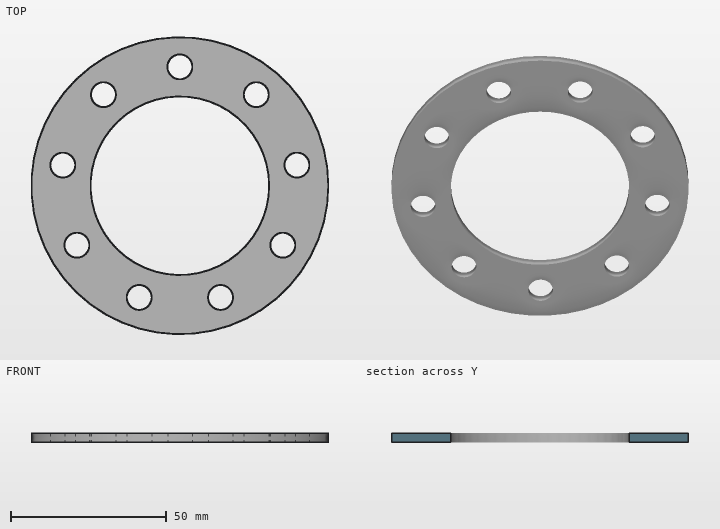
import cadquery as cq

outer_diameter = 95.25
bore_diameter = 57.15
thickness = 3.0

hole_count = 9
hole_diameter = 7.9
bolt_circle_diameter = (outer_diameter + bore_diameter) / 2
first_hole_angle = 90.0


def make_ring():
    """Plain flat ring standing on the XY plane."""
    return (
        cq.Workplane("XY")
        .circle(outer_diameter / 2)
        .circle(bore_diameter / 2)
        .extrude(thickness)
    )


def make_bolt_holes():
    """Evenly spaced cylinders that pass through the ring."""
    return (
        cq.Workplane("XY")
        .polarArray(bolt_circle_diameter / 2, first_hole_angle, 360, hole_count)
        .circle(hole_diameter / 2)
        .extrude(thickness)
    )


result = make_ring().cut(make_bolt_holes())